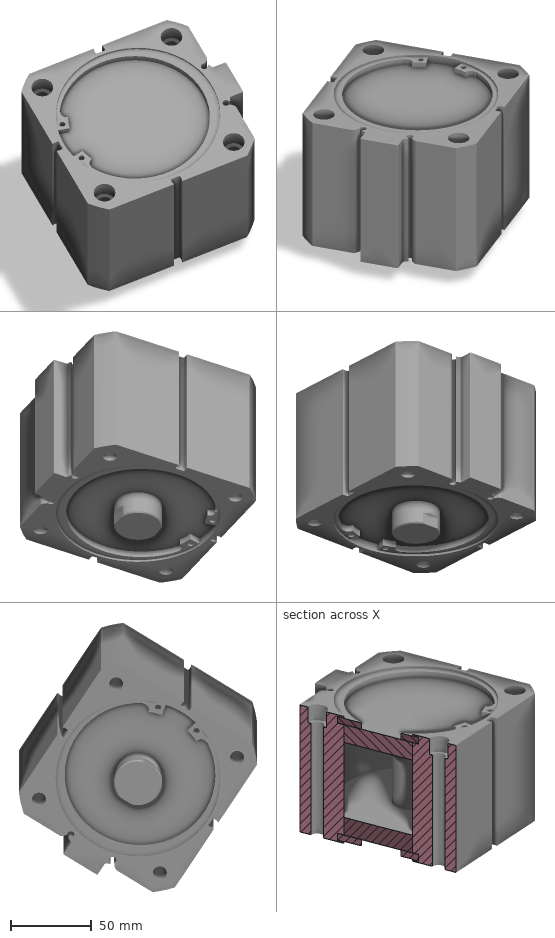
import cadquery as cq
import math


body_width = 115.0
body_height = 86.8
corner_radius = 74.5
total_depth = 124.0
rail_width = 25.0
rail_edge_fillet = 0.5
bore_radius = 51.1

ring_outer_radius = 53.5
ring_thickness = 4.2
ring_inset = 1.4
ring_inner_radius = 46.7
ring_inner_offset = 2.4
ring_gap_half_angle = 12.6
lug_inner_radius = 43.4
lug_hole_radius = 1.9
lug_hole_distance = 47.4
lug_hole_angle = 17.4
relief_radius = 3.7
relief_distance = 44.5
relief_angle = 28.7
top_ring_turn = -0.8

cover_thickness = 12.4

rod_radius = 15.0
rod_projection = 9.7
rod_chamfer = 0.7
flat_distance = 13.8
flat_run_out = 1.5

bolt_offset = 44.5
bolt_radius = 4.3
counterbore_radius = 6.7
counterbore_depth = 10.5

slot_mouth_width = 5.7
slot_width = 6.5
slot_lip = 0.6
slot_depth = 4.2
slot_floor_chamfer = 0.5

groove_radius = 2.1
groove_x = 15.5
groove_depth = 4.3
mouth_outer_x = 21.0
mouth_inner_x = 17.9
mouth_round_depth = 2.6
mouth_round_bulge = 0.5
hook_depth = 1.4
neck_x = 13.5
neck_depth = 3.7

half_width = body_width / 2
rail_face_y = total_depth - half_width
cover_inset = ring_inset + ring_thickness
head_cover_bottom = body_height - cover_inset - cover_thickness


def cylinder(radius, bottom, height, x=0.0, y=0.0):
    """Upright cylinder starting at the given height."""
    return cq.Workplane("XY", origin=(x, y, bottom)).circle(radius).extrude(height)


def polar_from_front(distance, angle):
    """Point at an angle measured from -Y towards -X."""
    turn = math.radians(angle)
    return (-distance * math.sin(turn), -distance * math.cos(turn))


def make_sensor_slot():
    """Cutter for the slot with lips in the front face."""
    lip_y = -half_width + slot_lip
    floor_y = -half_width + slot_depth
    mouth = cq.Workplane("XY").rect(slot_mouth_width, 2 * slot_lip)
    mouth = mouth.extrude(body_height).translate((0, -half_width, 0))
    channel = cq.Workplane("XY").rect(slot_width, floor_y - lip_y)
    channel = channel.extrude(body_height).translate((0, (lip_y + floor_y) / 2, 0))
    channel = channel.edges("|Z and >Y").chamfer(slot_floor_chamfer)
    return mouth.union(channel)


def make_rail_groove():
    """Cutter for the undercut groove on the -X side of the rear rail."""
    outer = (-mouth_outer_x, half_width)
    inner = (-mouth_inner_x, half_width - mouth_round_depth)
    chord = math.dist(outer, inner)
    bulge_point = (
        (outer[0] + inner[0]) / 2 + mouth_round_bulge * mouth_round_depth / chord,
        (outer[1] + inner[1]) / 2 + mouth_round_bulge * (mouth_outer_x - mouth_inner_x) / chord,
    )
    mouth = (
        cq.Workplane("XY")
        .moveTo(*outer)
        .threePointArc(bulge_point, inner)
        .lineTo(-groove_x, half_width - groove_depth)
        .lineTo(-neck_x, half_width - neck_depth)
        .lineTo(-groove_x, half_width - hook_depth)
        .lineTo(-rail_width / 2, half_width)
        .close()
        .extrude(body_height)
    )
    pocket = cylinder(groove_radius, 0, body_height, -groove_x, half_width - groove_depth)
    return mouth.union(pocket)


def make_housing():
    block = cq.Workplane("XY").rect(body_width, body_width).extrude(body_height)
    block = block.intersect(cylinder(corner_radius, 0, body_height))
    rail = (
        cq.Workplane("XY")
        .rect(rail_width, rail_face_y - bore_radius)
        .extrude(body_height)
        .translate((0, (rail_face_y + bore_radius) / 2, 0))
        .edges("|Z and >Y")
        .fillet(rail_edge_fillet)
    )
    housing = block.union(rail)

    sensor_slot = make_sensor_slot()
    for turn in (0, 90, -90):
        housing = housing.cut(sensor_slot.rotate((0, 0, 0), (0, 0, 1), turn))

    rail_groove = make_rail_groove()
    housing = housing.cut(rail_groove).cut(rail_groove.mirror("YZ"))

    housing = housing.cut(cylinder(bore_radius, 0, body_height))
    for groove_bottom in (ring_inset, body_height - cover_inset):
        housing = housing.cut(cylinder(ring_outer_radius, groove_bottom, ring_thickness))

    for x in (-bolt_offset, bolt_offset):
        for y in (-bolt_offset, bolt_offset):
            housing = housing.cut(cylinder(bolt_radius, 0, body_height, x, y))
            housing = housing.cut(
                cylinder(counterbore_radius, body_height - counterbore_depth, counterbore_depth, x, y)
            )
    return housing


def make_lug(side):
    """Lug at one end of the ring: side is 1 for -X and -1 for +X."""
    middle_angle = (ring_gap_half_angle + relief_angle) / 2
    root_radius = (ring_outer_radius + ring_inner_radius + ring_inner_offset) / 2
    lug = (
        cq.Workplane("XY")
        .moveTo(*polar_from_front(lug_inner_radius, side * ring_gap_half_angle))
        .threePointArc(
            polar_from_front(lug_inner_radius, side * middle_angle),
            polar_from_front(lug_inner_radius, side * relief_angle),
        )
        .lineTo(*polar_from_front(root_radius, side * relief_angle))
        .threePointArc(
            polar_from_front(root_radius, side * middle_angle),
            polar_from_front(root_radius, side * ring_gap_half_angle),
        )
        .close()
        .extrude(ring_thickness)
    )
    relief = polar_from_front(relief_distance, side * relief_angle)
    return lug.cut(cylinder(relief_radius, 0, ring_thickness, *relief))


def make_retaining_ring():
    """Retaining ring on Z = 0: its gap at -Y reaches the bore, leaving a closed rim in the groove."""
    ring = cylinder(ring_outer_radius, 0, ring_thickness)
    ring = ring.cut(cylinder(ring_inner_radius, 0, ring_thickness, 0, -ring_inner_offset))
    gap = (
        cq.Workplane("XY")
        .moveTo(0, 0)
        .lineTo(*polar_from_front(bore_radius, ring_gap_half_angle))
        .threePointArc((0, -bore_radius), polar_from_front(bore_radius, -ring_gap_half_angle))
        .close()
        .extrude(ring_thickness)
    )
    ring = ring.cut(gap)
    for side in (1, -1):
        hole = polar_from_front(lug_hole_distance, side * lug_hole_angle)
        ring = ring.union(make_lug(side))
        ring = ring.cut(cylinder(lug_hole_radius, 0, ring_thickness, *hole))
    return ring


def make_head_cover():
    return cylinder(bore_radius, head_cover_bottom, cover_thickness)


def make_rod_cover():
    cover = cylinder(bore_radius, cover_inset, cover_thickness)
    return cover.cut(cylinder(rod_radius, cover_inset, cover_thickness))


def make_piston_rod():
    """Rod from the head cover out through the rod cover, with two wrench flats."""
    rod = cylinder(rod_radius, -rod_projection, head_cover_bottom + rod_projection)
    rod = rod.faces("<Z").chamfer(rod_chamfer)
    slope = rod_radius - flat_distance
    flat_cutter = (
        cq.Workplane("YZ")
        .polyline([
            (-rod_radius, -flat_run_out),
            (-flat_distance, -flat_run_out - slope),
            (-flat_distance, -rod_projection),
            (-rod_radius, -rod_projection),
        ])
        .close()
        .extrude(rod_radius, both=True)
    )
    return rod.cut(flat_cutter).cut(flat_cutter.mirror("XZ"))


housing = make_housing()
head_cover = make_head_cover()
rod_cover = make_rod_cover()
piston_rod = make_piston_rod()

retaining_rings = []
for bottom, turn in ((ring_inset, 0), (body_height - cover_inset, top_ring_turn)):
    ring = make_retaining_ring().rotate((0, 0, 0), (0, 0, 1), turn)
    retaining_rings.append(ring.translate((0, 0, bottom)).val())

result = cq.Compound.makeCompound([
    housing.val(),
    head_cover.val(),
    rod_cover.val(),
    piston_rod.val(),
    *retaining_rings,
])